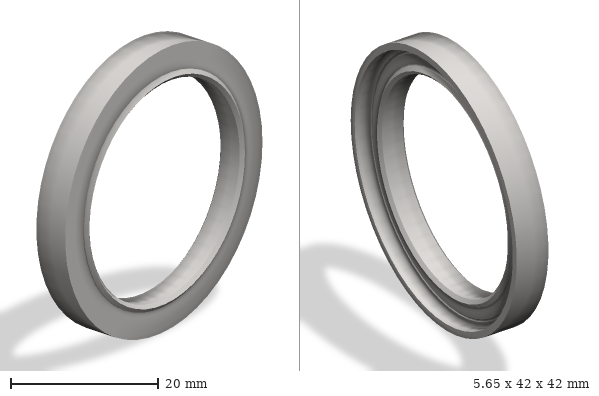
import cadquery as cq
import math

body_length = 5.1
total_length = 5.65
recess_depth = 2.1

outer_radius = 42 / 2
recess_radius = 40.0 / 2
bore_radius = 32.0 / 2
spigot_radius = 17.15
crest_radius = 16.55
taper_length = 0.45
bore_chamfer_length = 0.45

recess_fillet = 0.38
lip_fillet = 0.25
groove_outer_radius = 19.25
groove_width = 0.38
groove_depth = groove_width / 2

crest_x = recess_depth - lip_fillet - taper_length

diagonal = math.sqrt(0.5)
recess_center = (recess_depth - recess_fillet, recess_radius - recess_fillet)
recess_arc_mid = (
    recess_center[0] + recess_fillet * diagonal,
    recess_center[1] + recess_fillet * diagonal,
)
lip_center = (recess_depth - lip_fillet, spigot_radius + lip_fillet)
lip_arc_mid = (
    lip_center[0] + lip_fillet * diagonal,
    lip_center[1] - lip_fillet * diagonal,
)
groove_mid = (recess_depth + groove_depth, groove_outer_radius - groove_width / 2)

profile = (
    cq.Workplane("XY")
    .moveTo(0, outer_radius)
    .lineTo(body_length, outer_radius)
    .lineTo(body_length, spigot_radius)
    .lineTo(total_length - taper_length, spigot_radius)
    .lineTo(total_length, crest_radius)
    .lineTo(total_length - bore_chamfer_length, bore_radius)
    .lineTo(crest_x + bore_chamfer_length, bore_radius)
    .lineTo(crest_x, crest_radius)
    .lineTo(lip_center[0], spigot_radius)
    .threePointArc(lip_arc_mid, (recess_depth, lip_center[1]))
    .lineTo(recess_depth, groove_outer_radius - groove_width)
    .threePointArc(groove_mid, (recess_depth, groove_outer_radius))
    .lineTo(recess_depth, recess_center[1])
    .threePointArc(recess_arc_mid, (recess_center[0], recess_radius))
    .lineTo(0, recess_radius)
    .close()
)

result = profile.revolve(360, (0, 0, 0), (1, 0, 0))